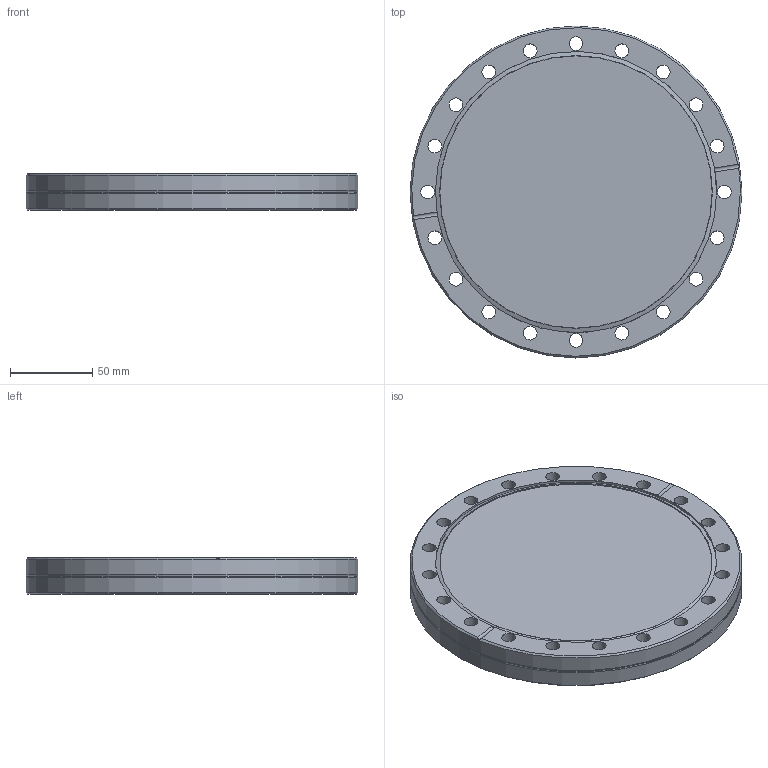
import cadquery as cq
import math

flange_diameter = 202.4
flange_thickness = 22.2
rim_chamfer = 1.0
flange_radius = flange_diameter / 2

rim_groove_width = 1.5
rim_groove_depth = 0.2

gasket_recess_radius = 85.7
knife_edge_radius = 83.15
knife_edge_drop = 0.6
knife_slope_angle = 20.0
center_floor_radius = 83.0
center_floor_drop = 1.15
knife_root_drop = knife_edge_drop + (
    (gasket_recess_radius - knife_edge_radius) * math.tan(math.radians(knife_slope_angle))
)

bolt_count = 20
bolt_circle_radius = 90.5
bolt_hole_diameter = 8.4
bolt_pitch_angle = 360 / bolt_count

leak_groove_width = 2.4
leak_groove_depth = 0.6
leak_groove_angles = [bolt_pitch_angle / 2, bolt_pitch_angle / 2 + 180]


def flange_body():
    """Revolve the half section holding the rim chamfers, rim groove, recess and knife edge."""
    top = flange_thickness
    middle = flange_thickness / 2
    chamfered_radius = flange_radius - rim_chamfer
    half_groove = rim_groove_width / 2
    section = [
        (0, 0),
        (chamfered_radius, 0),
        (flange_radius, rim_chamfer),
        (flange_radius, middle - half_groove),
        (flange_radius - rim_groove_depth, middle),
        (flange_radius, middle + half_groove),
        (flange_radius, top - rim_chamfer),
        (chamfered_radius, top),
        (gasket_recess_radius, top),
        (gasket_recess_radius, top - knife_root_drop),
        (knife_edge_radius, top - knife_edge_drop),
        (center_floor_radius, top - center_floor_drop),
        (0, top - center_floor_drop),
    ]
    return cq.Workplane("XZ").polyline(section).close().revolve(360, (0, 0), (0, 1))


def bolt_holes():
    """Cylinders for the through holes, the first one on +X."""
    return (
        cq.Workplane("XY")
        .polarArray(bolt_circle_radius, 0, 360, bolt_count)
        .circle(bolt_hole_diameter / 2)
        .extrude(flange_thickness)
    )


def leak_groove(angle):
    """Round-bottomed radial groove in the top face, from the recess wall out through the rim."""
    half_width = leak_groove_width / 2
    top = flange_thickness
    return (
        cq.Workplane("YZ", origin=(gasket_recess_radius, 0, 0))
        .moveTo(-half_width, top)
        .threePointArc((0, top - leak_groove_depth), (half_width, top))
        .close()
        .extrude(flange_radius - gasket_recess_radius)
        .rotate((0, 0, 0), (0, 0, 1), angle)
    )


result = flange_body().cut(bolt_holes())
for groove_angle in leak_groove_angles:
    result = result.cut(leak_groove(groove_angle))